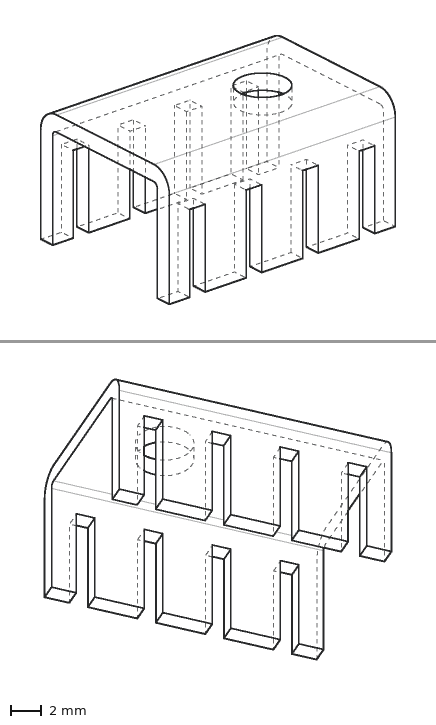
import cadquery as cq

length = 19.1
width = 13.2
height = 9.5
thickness = 1.25
outer_bend_radius = 1.6
inner_bend_radius = outer_bend_radius - thickness

hole_diameter = 3.82
hole_from_back_edge = 5.79

slot_count = 4
slot_width = 1.3
slot_height = 6.3
slot_pitch = length / slot_count


def bent_channel():
    """Bent sheet, centred in X and Y, with the leg ends at Z = 0."""
    outside = (
        cq.Workplane("XY")
        .box(width, length, height, centered=(True, True, False))
        .edges("|Y and >Z")
        .fillet(outer_bend_radius)
    )
    inside = (
        cq.Workplane("XY")
        .box(width - 2 * thickness, length, height - thickness, centered=(True, True, False))
        .edges("|Y and >Z")
        .fillet(inner_bend_radius)
    )
    return outside.cut(inside)


def leg_slots():
    """Bars spanning the full width, so each one cuts both legs."""
    return (
        cq.Workplane("XY")
        .rarray(0.2, slot_pitch, 1, slot_count)
        .rect(width, slot_width)
        .extrude(slot_height)
    )


def mounting_hole():
    return (
        cq.Workplane("XY")
        .center(0, length / 2 - hole_from_back_edge)
        .circle(hole_diameter / 2)
        .extrude(height)
    )


result = bent_channel().cut(leg_slots()).cut(mounting_hole())